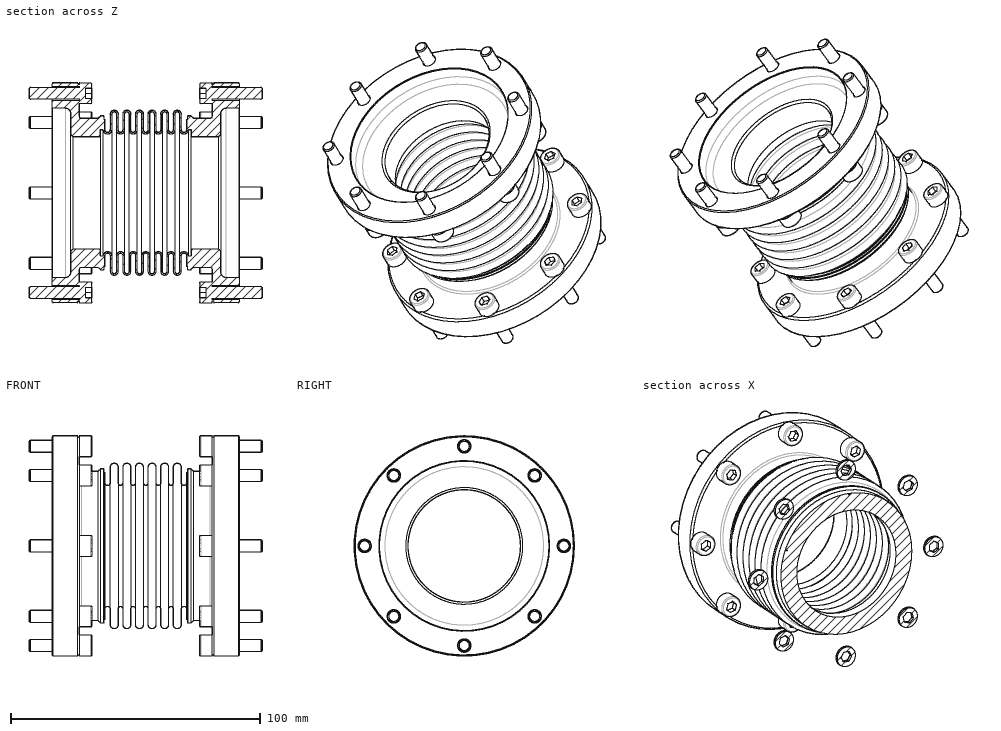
import cadquery as cq
import math

overall_length = 93.6
half_length = overall_length / 2

flange_radius = 88.5 / 2
flange_outer_face = 37.6
flange_inner_face = 26.6
flange_outer_chamfer = 0.5
flange_inner_chamfer = 0.8
hub_radius = 60.0 / 2
hub_end = 19.2
hub_root_fillet = 0.75
bore_radius = 45.0 / 2
bore_chamfer = 0.9
bore_end = 18.3
relief_radius = 25.3
recess_radius = 68.0 / 2
recess_depth = 7.5
recess_fillet = 2.15
recess_chamfer = 0.3

rim_radius = 62.0 / 2
rim_start = 18.1
rim_end = 16.7
rim_chamfer = 0.3

convolution_count = 6
pitch = 5.1
sheet_thickness = 0.75
crest_radius = 33.2
root_radius = 24.3
wall_radius = 29.5
outer_bend = (pitch / 2 + sheet_thickness) / 2
inner_bend = outer_bend - sheet_thickness
end_bend_growth = 0.2

screw_count = 8
screw_circle_radius = 40.0
shank_diameter = 5.0
shank_chamfer = 0.5
clearance_diameter = 5.4
head_diameter = 8.5
head_height = 5.0
head_fillet = 0.5
socket_sides = 6
socket_width = 4.0
socket_turn = 90
socket_depth = 2.5


def revolve_about_x(profile):
    """Turn a closed XY outline (x along the axis, y as radius) fully about the X axis."""
    return profile.close().revolve(360, (0, 0, 0), (1, 0, 0))


def make_flange():
    """Left flange with its recess, hub, bore and weld rim."""
    recess_floor = recess_depth - flange_outer_face
    fillet_drop = 1 - math.sqrt(0.5)
    hub_mid_drop = fillet_drop * hub_root_fillet
    recess_mid_drop = fillet_drop * recess_fillet
    return revolve_about_x(
        cq.Workplane("XY")
        .moveTo(-flange_outer_face, recess_radius + recess_chamfer)
        .lineTo(-flange_outer_face, flange_radius - flange_outer_chamfer)
        .lineTo(-flange_outer_face + flange_outer_chamfer, flange_radius)
        .lineTo(-flange_inner_face - flange_inner_chamfer, flange_radius)
        .lineTo(-flange_inner_face, flange_radius - flange_inner_chamfer)
        .lineTo(-flange_inner_face, hub_radius + hub_root_fillet)
        .threePointArc(
            (-flange_inner_face + hub_mid_drop, hub_radius + hub_mid_drop),
            (-flange_inner_face + hub_root_fillet, hub_radius),
        )
        .lineTo(-hub_end, hub_radius)
        .lineTo(-rim_start, rim_radius)
        .lineTo(-rim_end - rim_chamfer, rim_radius)
        .lineTo(-rim_end, rim_radius - rim_chamfer)
        .lineTo(-rim_end, relief_radius)
        .lineTo(-bore_end, relief_radius)
        .lineTo(-bore_end, bore_radius)
        .lineTo(recess_floor + bore_chamfer, bore_radius)
        .lineTo(recess_floor, bore_radius + bore_chamfer)
        .lineTo(recess_floor, recess_radius - recess_fillet)
        .threePointArc(
            (recess_floor - recess_mid_drop, recess_radius - recess_mid_drop),
            (recess_floor - recess_fillet, recess_radius),
        )
        .lineTo(-flange_outer_face + recess_chamfer, recess_radius)
    )


def wave_skin(profile, crest, root, crest_bend, root_bend, direction):
    """Trace the crests and roots of one bellows skin, running along +X or -X."""
    first = -direction * (convolution_count - 1) / 2 * pitch
    for index in range(convolution_count):
        center = first + direction * index * pitch
        side = direction * crest_bend
        profile = (
            profile.lineTo(center - side, crest - crest_bend)
            .threePointArc((center, crest), (center + side, crest - crest_bend))
        )
        if index < convolution_count - 1:
            valley = center + direction * pitch / 2
            profile = (
                profile.lineTo(center + side, root + root_bend)
                .threePointArc((valley, root), (valley + direction * root_bend, root + root_bend))
            )
    return profile


def end_root(profile, center, root, bend, direction):
    """Add the root bend beside an outermost convolution, running along +X or -X."""
    return (
        profile.lineTo(center - direction * bend, root + bend)
        .threePointArc((center, root), (center + direction * bend, root + bend))
    )


def make_bellows():
    """Thin corrugated tube ending in flat walls that overlap the weld rims."""
    end_center = convolution_count * pitch / 2 + end_bend_growth
    end_outer_bend = outer_bend + end_bend_growth
    end_inner_bend = inner_bend + end_bend_growth
    wall_outer_x = end_center + end_outer_bend
    wall_inner_x = end_center + end_inner_bend
    under_crest = crest_radius - sheet_thickness
    under_root = root_radius - sheet_thickness

    profile = cq.Workplane("XY").moveTo(-wall_inner_x, wall_radius)
    profile = end_root(profile, -end_center, root_radius, end_inner_bend, 1)
    profile = wave_skin(profile, crest_radius, root_radius, outer_bend, inner_bend, 1)
    profile = end_root(profile, end_center, root_radius, end_inner_bend, 1)
    profile = profile.lineTo(wall_inner_x, wall_radius).lineTo(wall_outer_x, wall_radius)
    profile = end_root(profile, end_center, under_root, end_outer_bend, -1)
    profile = wave_skin(profile, under_crest, under_root, inner_bend, outer_bend, -1)
    profile = end_root(profile, -end_center, under_root, end_outer_bend, -1)
    return revolve_about_x(profile.lineTo(-wall_outer_x, wall_radius))


def make_screw():
    """One cap screw on the X axis, its head seated on the inner flange face."""
    head = (
        cq.Workplane("YZ", origin=(-flange_inner_face, 0, 0))
        .circle(head_diameter / 2)
        .extrude(head_height)
        .faces(">X")
        .edges()
        .fillet(head_fillet)
    )
    socket = (
        cq.Workplane("YZ", origin=(head_height - flange_inner_face, 0, 0))
        .polygon(socket_sides, socket_width, circumscribed=True)
        .extrude(-socket_depth)
        .rotate((0, 0, 0), (1, 0, 0), socket_turn)
    )
    shank = (
        cq.Workplane("YZ", origin=(-half_length, 0, 0))
        .circle(shank_diameter / 2)
        .extrude(half_length - flange_inner_face)
        .faces("<X")
        .chamfer(shank_chamfer)
    )
    return head.cut(socket).union(shank)


def around_axis(shape):
    """Copies of a shape placed evenly on the screw circle."""
    shifted = shape.translate((0, 0, screw_circle_radius))
    return [
        shifted.rotate((0, 0, 0), (1, 0, 0), index * 360 / screw_count)
        for index in range(screw_count)
    ]


def make_end():
    """Left flange drilled and fitted with its screws."""
    clearance_hole = (
        cq.Workplane("YZ", origin=(-flange_outer_face, 0, 0))
        .circle(clearance_diameter / 2)
        .extrude(flange_outer_face - flange_inner_face)
    )
    end = make_flange()
    for hole in around_axis(clearance_hole):
        end = end.cut(hole)
    for screw in around_axis(make_screw()):
        end = end.union(screw)
    return end


left_end = make_end()
right_end = left_end.mirror("YZ")
result = left_end.union(make_bellows()).union(right_end)